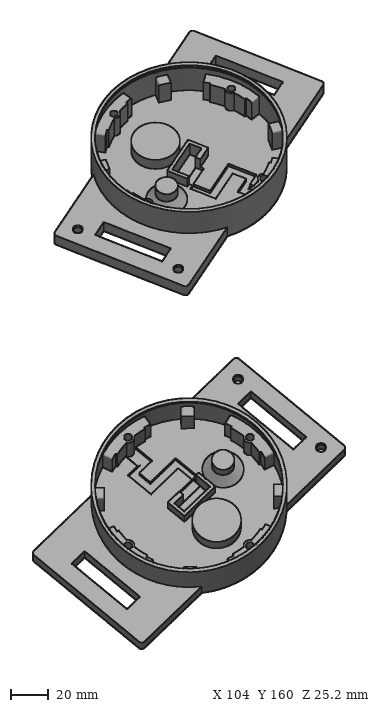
import cadquery as cq
import math

plate_width = 80.0
plate_length = 160.0
plate_thickness = 7.6
plate_corner_radius = 2.0
strap_slot_length = 40.0
strap_slot_width = 10.0
strap_slot_offset = 65.0
screw_hole_top_diameter = 5.4
screw_hole_diameter = 4.4
screw_hole_lead_in = 1.0
screw_hole_depth = 6.0
screw_hole_offset_x = 30.0
screw_hole_offset_y = 70.7

housing_diameter = 104.0
housing_height = 25.2
cavity_diameter = 101.6
lip_diameter = 99.83
lip_height = 1.4
lip_taper_height = 1.8
floor_z = 3.4

support_turn = -1.3
support_inner_radius = 45.0
support_outer_radius = (cavity_diameter + housing_diameter) / 4
support_top_z = 17.8

screw_block_half_angle = 19.0
screw_block_side_tilt = 16.0
screw_block_edge_radius = 1.0
screw_block_pad_radius = 44.0
screw_block_pad_half_angle = 13.9
pillar_diameter = 6.8
pillar_hole_diameter = 4.2
pillar_radius_from_center = 45.75
pillar_turn = -0.9

rest_post_width = 7.0
rest_post_edge_radius = 1.2
plain_post_index = 2

disc_diameter = 26.0
disc_x = -20.0
disc_top_z = 10.9
button_x = 0.75
button_y = -27.4
button_diameter = 12.0
button_top_z = 14.5
button_foot_diameter = 22.0
button_foot_height = (button_foot_diameter - button_diameter) / 2

frame_left = -5.5
frame_right = 6.6
frame_bottom = -14.7
frame_top = 9.5
frame_wall = 2.0
frame_top_z = 10.0
bay_right = 3.6
bay_floor_z = 1.0

channel_depth = 2.0
channel_floor_z = floor_z - channel_depth
entry_right = 8.6
entry_top = 0.5
first_run_top = -11.7
first_run_bottom = -15.2
riser_left = 18.7
riser_right = 23.8
upper_run_bottom = 4.5
drop_left = 31.9
drop_right = 35.4
exit_top = 0.0
exit_bottom = -5.6
exit_end = 45.0
exit_cove_radius = 2.0


def box(x0, x1, y0, y1, z0, z1):
    """Axis-aligned block between two opposite corners."""
    return cq.Workplane("XY").box(x1 - x0, y1 - y0, z1 - z0, centered=False).translate((x0, y0, z0))


def cylinder(diameter, z0, z1, x=0.0, y=0.0):
    """Upright cylinder centred on (x, y)."""
    return cq.Workplane("XY", origin=(x, y, z0)).circle(diameter / 2).extrude(z1 - z0)


def cone(bottom_diameter, top_diameter, z0, z1, x=0.0, y=0.0):
    """Upright truncated cone centred on (x, y)."""
    solid = cq.Solid.makeCone(bottom_diameter / 2, top_diameter / 2, z1 - z0, cq.Vector(x, y, z0))
    return cq.Workplane("XY").add(solid)


def polar(radius, angle):
    """Point at a radius and an angle in degrees."""
    return (radius * math.cos(math.radians(angle)), radius * math.sin(math.radians(angle)))


def make_shell():
    """Strap plate joined to the open round housing."""
    plate = (
        cq.Workplane("XY")
        .rect(plate_width, plate_length)
        .extrude(plate_thickness)
        .edges("|Z")
        .fillet(plate_corner_radius)
    )
    shell = plate.union(cylinder(housing_diameter, 0, housing_height))
    lip_z = housing_height - lip_height
    taper_z = lip_z - lip_taper_height
    shell = shell.cut(cylinder(cavity_diameter, floor_z, taper_z))
    shell = shell.cut(cone(cavity_diameter, lip_diameter, taper_z, lip_z))
    shell = shell.cut(cylinder(lip_diameter, lip_z, housing_height))
    for side in (-1, 1):
        slot = (
            cq.Workplane("XY")
            .center(0, side * strap_slot_offset)
            .rect(strap_slot_length, strap_slot_width)
            .extrude(plate_thickness)
        )
        hole_x = side * screw_hole_offset_x
        hole_y = -screw_hole_offset_y
        hole_z = plate_thickness - screw_hole_depth
        lead_in_z = plate_thickness - screw_hole_lead_in
        hole = cylinder(screw_hole_diameter, hole_z, lead_in_z, hole_x, hole_y)
        lead_in = cone(
            screw_hole_diameter, screw_hole_top_diameter, lead_in_z, plate_thickness, hole_x, hole_y
        )
        shell = shell.cut(slot).cut(hole).cut(lead_in)
    return shell


def make_frame():
    """Battery frame walls, before the bay and the channel entry are cut."""
    return box(frame_left, frame_right, frame_bottom, frame_top, floor_z, frame_top_z)


def make_frame_cut():
    """Bay inside the frame, and the opening through its right wall."""
    bay_bottom = frame_bottom + frame_wall
    bay = box(frame_left + frame_wall, bay_right, bay_bottom, frame_top - frame_wall, bay_floor_z, frame_top_z)
    entry = box(bay_right, entry_right, bay_bottom, entry_top, channel_floor_z, frame_top_z)
    return bay.union(entry)


def make_channel():
    """Stepped cable channel with a cove along the upper side of its exit run."""
    channel = (
        cq.Workplane("XY", origin=(0, 0, channel_floor_z))
        .moveTo(entry_right, first_run_bottom)
        .lineTo(riser_right, first_run_bottom)
        .lineTo(riser_right, upper_run_bottom)
        .lineTo(drop_left, upper_run_bottom)
        .lineTo(drop_left, exit_bottom)
        .lineTo(exit_end, exit_bottom)
        .lineTo(exit_end, exit_top)
        .lineTo(drop_right, exit_top)
        .lineTo(drop_right, frame_top)
        .lineTo(riser_left, frame_top)
        .lineTo(riser_left, first_run_top)
        .lineTo(entry_right, first_run_top)
        .close()
        .extrude(channel_depth)
    )
    cove_axis_z = channel_floor_z + exit_cove_radius
    cove = (
        cq.Workplane("YZ", origin=(drop_right, exit_top, cove_axis_z))
        .circle(exit_cove_radius)
        .extrude(exit_end - drop_right)
    )
    cove_limit = box(
        drop_right, exit_end, exit_top, exit_top + exit_cove_radius, channel_floor_z, floor_z
    )
    return channel.union(cove.intersect(cove_limit))


def make_screw_block():
    """Block on the +X side of the wall, with an inner pad and a drilled pillar."""
    corner_x, corner_y = polar(support_inner_radius, screw_block_half_angle)
    reach = support_outer_radius - support_inner_radius
    outer_x = corner_x + reach
    outer_y = corner_y + reach * math.tan(math.radians(screw_block_side_tilt))
    outer_radius = math.hypot(outer_x, outer_y)
    height = support_top_z - channel_floor_z
    base = cq.Workplane("XY", origin=(0, 0, channel_floor_z))
    body = (
        base.moveTo(corner_x, -corner_y)
        .lineTo(outer_x, -outer_y)
        .threePointArc((outer_radius, 0), (outer_x, outer_y))
        .lineTo(corner_x, corner_y)
        .threePointArc((support_inner_radius, 0), (corner_x, -corner_y))
        .close()
        .extrude(height)
    )
    for side in (-1, 1):
        side_edge = ((corner_x + outer_x) / 2, side * (corner_y + outer_y) / 2, support_top_z)
        body = body.edges(cq.selectors.NearestToPointSelector(side_edge)).fillet(screw_block_edge_radius)

    pad_half = screw_block_pad_half_angle
    pad = (
        base.moveTo(*polar(screw_block_pad_radius, -pad_half))
        .threePointArc((screw_block_pad_radius, 0), polar(screw_block_pad_radius, pad_half))
        .lineTo(*polar(support_outer_radius, pad_half))
        .lineTo(*polar(support_outer_radius, -pad_half))
        .close()
        .extrude(height)
    )
    pillar_x, pillar_y = polar(pillar_radius_from_center, pillar_turn)
    pillar = cylinder(pillar_diameter, channel_floor_z, support_top_z, pillar_x, pillar_y)
    hole = cylinder(pillar_hole_diameter, floor_z, support_top_z, pillar_x, pillar_y)
    return body.union(pad).union(pillar).cut(hole)


def make_rest_post(rounded):
    """Short post on the +X side of the wall, its upper side edges rounded or sharp."""
    half_width = rest_post_width / 2
    post = box(
        support_inner_radius, support_outer_radius, -half_width, half_width, floor_z, support_top_z
    )
    if rounded:
        post = post.edges("|X and >Z").fillet(rest_post_edge_radius)
    return post


def turned(solid, angle):
    """Solid turned about the housing axis."""
    return solid.rotate((0, 0, 0), (0, 0, 1), angle)


part = make_shell().union(make_frame()).cut(make_frame_cut()).cut(make_channel())

part = part.union(cylinder(disc_diameter, floor_z, disc_top_z, disc_x))

foot_top_z = floor_z + button_foot_height
part = part.union(cone(button_foot_diameter, button_diameter, floor_z, foot_top_z, button_x, button_y))
part = part.union(cylinder(button_diameter, foot_top_z, button_top_z, button_x, button_y))

for index in range(4):
    quarter = 90 * index + support_turn
    part = part.union(turned(make_screw_block(), quarter))
    part = part.union(turned(make_rest_post(index != plain_post_index), quarter + 45))

result = part